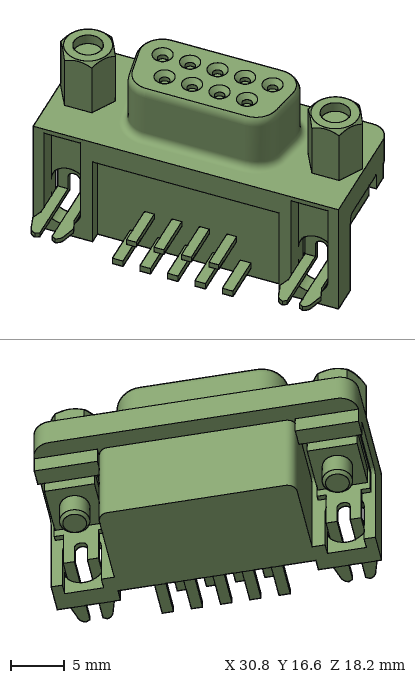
import cadquery as cq
import math


LENGTH = 30.8
FLANGE_HALF_DEPTH = 6.25
FLANGE_THICKNESS = 3.0
FLANGE_CORNER_RADIUS = 1.75
BODY_BOTTOM_Z = -12.23
BODY_BACK_Y = 4.55
CORE_HALF_WIDTH = 9.4
CORE_BACK_RADIUS = 0.95
RECESS_DEPTH = 1.17
RECESS_TOP_Z = -2.4
LEG_BACK_Y = -3.35
TAB_FRONT_Y = 2.85
TAB_BOTTOM_Z = -4.7

SHELL_HEIGHT = 5.98
SHELL_HALF_DEPTH = 3.97
SHELL_MID_HALF_WIDTH = 7.92
SHELL_SIDE_ANGLE = 10.0
SHELL_CORNER_RADIUS = 2.55
SHELL_FLARE_RADIUS = 0.77
SHELL_RIM_RADIUS = 1.23
SHELL_RIM_DEPTH = 0.85

CONTACT_PITCH = 2.77
CONTACT_ROW_Y = 1.42
CONTACT_HOLE_RADIUS = 0.5
CONTACT_MOUTH_RADIUS = 1.0
CONTACT_MOUTH_DEPTH = 0.45
CONTACT_HOLE_DEPTH = 0.92
PIN_END_Y = -9.43
BACK_ROW_COUNT = 5
FRONT_ROW_COUNT = 4
PIN_ROWS = [
    (BACK_ROW_COUNT, -10.95, 1.08, 0.68),
    (FRONT_ROW_COUNT, -8.13, 1.0, 0.6),
]

SCREW_X = 12.48
HEX_ACROSS_FLATS = 4.78
HEX_TOP_RADIUS = 2.28
SCREW_RADIUS = 1.42
SOCKET_DEPTH = 1.05
STUB_BOTTOM_Z = -7.67
STUB_CHAMFER = 0.3
NUT_WIDTH_X = 4.75
NUT_WIDTH_Y = 4.9
NUT_BOTTOM_Z = -5.35

BRACKET_THICKNESS = 0.5
BRACKET_WIDTH = 5.05
BRACKET_BEND_RADIUS = 0.62
BRACKET_INNER_BEND_RADIUS = 0.3
STRAP_TOP_Z = -5.73
STRAP_HALF_WIDTH = 1.65
STRAP_BOTTOM_Z = -9.75
FORK_GAP_HALF_WIDTH = 0.62
FORK_GAP_TOP_Z = -7.2
BARB_START_Y = -7.33
BARB_PEAK_Y = -8.4
BARB_HALF_WIDTH = 2.05
PRONG_ROUND_Y = -9.77
PRONG_INNER_END_Y = -10.17
PRONG_TIP_Y = -10.38
PRONG_TIP_X = 1.02
PRONG_ROUND_MIDPOINT = (1.45, -10.15)

WINDOW_HALF_WIDTH = 1.85
WINDOW_POCKET_TOP_Z = -0.5
WINDOW_POCKET_DEPTH = 1.82
WINDOW_TOP_Z = -5.73
WINDOW_BOTTOM_Z = -11.03


def box(x0, x1, y0, y1, z0, z1):
    """Axis-aligned block between two opposite corners."""
    return cq.Workplane("XY").box(x1 - x0, y1 - y0, z1 - z0, centered=False).translate((x0, y0, z0))


def row_xs(count):
    """Evenly pitched X places of one contact row, centred on X = 0."""
    return [CONTACT_PITCH * (i - (count - 1) / 2) for i in range(count)]


def make_flange():
    flange = box(-LENGTH / 2, LENGTH / 2, -FLANGE_HALF_DEPTH, FLANGE_HALF_DEPTH, -FLANGE_THICKNESS, 0)
    return flange.edges("|Z and >Y").fillet(FLANGE_CORNER_RADIUS)


def make_core():
    """Insulator block below the flange, flush with the board face until the pin recess is cut."""
    core = box(
        -CORE_HALF_WIDTH, CORE_HALF_WIDTH,
        -FLANGE_HALF_DEPTH, BODY_BACK_Y,
        BODY_BOTTOM_Z, -FLANGE_THICKNESS,
    )
    return core.edges("|Z and >Y").fillet(CORE_BACK_RADIUS)


def make_pin_recess():
    return box(
        -CORE_HALF_WIDTH, CORE_HALF_WIDTH,
        -FLANGE_HALF_DEPTH, -FLANGE_HALF_DEPTH + RECESS_DEPTH,
        BODY_BOTTOM_Z, RECESS_TOP_Z,
    )


def make_side_walls():
    """Leg, back tab and rounded bend corner at the -X end."""
    outer_x = -LENGTH / 2
    leg = box(outer_x, -CORE_HALF_WIDTH, -FLANGE_HALF_DEPTH, LEG_BACK_Y, BODY_BOTTOM_Z, -FLANGE_THICKNESS)
    tab = box(outer_x, -CORE_HALF_WIDTH, TAB_FRONT_Y, BODY_BACK_Y, TAB_BOTTOM_Z, -FLANGE_THICKNESS)
    corner = (
        cq.Workplane("YZ", origin=(outer_x, 0, 0))
        .moveTo(LEG_BACK_Y, -FLANGE_THICKNESS)
        .lineTo(LEG_BACK_Y + BRACKET_BEND_RADIUS, -FLANGE_THICKNESS)
        .radiusArc((LEG_BACK_Y, -FLANGE_THICKNESS - BRACKET_BEND_RADIUS), -BRACKET_BEND_RADIUS)
        .close()
        .extrude(LENGTH / 2 - CORE_HALF_WIDTH)
    )
    return leg.union(tab).union(corner)


def make_window():
    """Round-bottomed pocket in the -X leg; an arch behind it runs out at the foot of the leg."""
    pocket_back_y = -FLANGE_HALF_DEPTH + WINDOW_POCKET_DEPTH
    right = WINDOW_HALF_WIDTH
    pocket_spring_z = WINDOW_BOTTOM_Z + WINDOW_HALF_WIDTH
    arch_spring_z = WINDOW_TOP_Z - WINDOW_HALF_WIDTH
    pocket = (
        cq.Workplane("XZ", origin=(-SCREW_X, pocket_back_y, 0))
        .moveTo(-right, pocket_spring_z)
        .threePointArc((0, WINDOW_BOTTOM_Z), (right, pocket_spring_z))
        .lineTo(right, WINDOW_POCKET_TOP_Z)
        .lineTo(-right, WINDOW_POCKET_TOP_Z)
        .close()
        .extrude(WINDOW_POCKET_DEPTH)
    )
    arch = (
        cq.Workplane("XZ", origin=(-SCREW_X, LEG_BACK_Y, 0))
        .moveTo(-right, arch_spring_z)
        .threePointArc((0, WINDOW_TOP_Z), (right, arch_spring_z))
        .lineTo(right, BODY_BOTTOM_Z)
        .lineTo(-right, BODY_BOTTOM_Z)
        .close()
        .extrude(LEG_BACK_Y - pocket_back_y)
    )
    return pocket.union(arch)


def make_shell():
    """D-shaped shell whose rim arc is cut short by the flat mating face."""
    lean = SHELL_HALF_DEPTH * math.tan(math.radians(SHELL_SIDE_ANGLE))
    wide = SHELL_MID_HALF_WIDTH + lean
    narrow = SHELL_MID_HALF_WIDTH - lean
    d = SHELL_HALF_DEPTH
    untrimmed_height = SHELL_HEIGHT - SHELL_RIM_DEPTH + SHELL_RIM_RADIUS
    shell = (
        cq.Workplane("XY")
        .polyline([(-wide, d), (wide, d), (narrow, -d), (-narrow, -d)])
        .close()
        .extrude(untrimmed_height)
        .edges("|Z").fillet(SHELL_CORNER_RADIUS)
        .faces(">Z").edges().fillet(SHELL_RIM_RADIUS)
    )
    return shell.intersect(box(-wide, wide, -d, d, 0, SHELL_HEIGHT))


def make_contact_hole(x, y):
    """Straight hole with a conical mouth, cut down from the mating face."""
    mouth_z = SHELL_HEIGHT - CONTACT_MOUTH_DEPTH
    return (
        cq.Workplane("XZ")
        .polyline([
            (0, SHELL_HEIGHT),
            (CONTACT_MOUTH_RADIUS, SHELL_HEIGHT),
            (CONTACT_HOLE_RADIUS, mouth_z),
            (CONTACT_HOLE_RADIUS, SHELL_HEIGHT - CONTACT_HOLE_DEPTH),
            (0, SHELL_HEIGHT - CONTACT_HOLE_DEPTH),
        ])
        .close()
        .revolve(360, (0, 0, 0), (0, 1, 0))
        .translate((x, y, 0))
    )


def make_pin(x, z, width, thickness):
    core_front_y = -FLANGE_HALF_DEPTH + RECESS_DEPTH
    return box(x - width / 2, x + width / 2, PIN_END_Y, core_front_y, z - thickness / 2, z + thickness / 2)


def make_jackscrew():
    """Hex head with a 45-degree turned top, and the threaded stub behind the nut, on X = 0."""
    corner_radius = HEX_ACROSS_FLATS / math.sqrt(3)
    turned = (
        cq.Workplane("XY")
        .circle(corner_radius)
        .extrude(SHELL_HEIGHT)
        .faces(">Z").chamfer(corner_radius - HEX_TOP_RADIUS)
    )
    head = cq.Workplane("XY").polygon(6, 2 * corner_radius).extrude(SHELL_HEIGHT).intersect(turned)
    head = head.faces(">Z").workplane().hole(2 * SCREW_RADIUS, SOCKET_DEPTH)
    stub = (
        cq.Workplane("XY")
        .circle(SCREW_RADIUS)
        .extrude(STUB_BOTTOM_Z)
        .faces("<Z").chamfer(STUB_CHAMFER)
    )
    return head.union(stub)


def make_nut():
    top_z = -FLANGE_THICKNESS - BRACKET_THICKNESS
    return box(-NUT_WIDTH_X / 2, NUT_WIDTH_X / 2, -NUT_WIDTH_Y / 2, NUT_WIDTH_Y / 2, NUT_BOTTOM_Z, top_z)


def make_bracket():
    """Bent strip on X = 0: a plate under the flange, a strap down the leg and two barbed prongs."""
    inner_y = LEG_BACK_Y + BRACKET_THICKNESS
    plate_bottom_z = -FLANGE_THICKNESS - BRACKET_THICKNESS
    prong_top_z = STRAP_BOTTOM_Z + BRACKET_THICKNESS
    half = BRACKET_WIDTH / 2
    angle = (
        box(-half, half, LEG_BACK_Y, TAB_FRONT_Y, STRAP_TOP_Z, -FLANGE_THICKNESS)
        .edges("|X and <Y and >Z").fillet(BRACKET_BEND_RADIUS)
    )
    inside = (
        box(-half, half, inner_y, TAB_FRONT_Y, STRAP_TOP_Z, plate_bottom_z)
        .edges("|X and <Y and >Z").fillet(BRACKET_INNER_BEND_RADIUS)
    )
    strap = box(-STRAP_HALF_WIDTH, STRAP_HALF_WIDTH, LEG_BACK_Y, inner_y, STRAP_BOTTOM_Z, STRAP_TOP_Z)
    gap_round = (
        cq.Workplane("XZ", origin=(0, inner_y, FORK_GAP_TOP_Z - FORK_GAP_HALF_WIDTH))
        .circle(FORK_GAP_HALF_WIDTH)
        .extrude(BRACKET_THICKNESS)
    )
    gap = box(
        -FORK_GAP_HALF_WIDTH, FORK_GAP_HALF_WIDTH,
        LEG_BACK_Y, inner_y,
        STRAP_BOTTOM_Z, FORK_GAP_TOP_Z - FORK_GAP_HALF_WIDTH,
    )
    prong = (
        cq.Workplane("XY", origin=(0, 0, STRAP_BOTTOM_Z))
        .moveTo(FORK_GAP_HALF_WIDTH, inner_y)
        .lineTo(STRAP_HALF_WIDTH, inner_y)
        .lineTo(STRAP_HALF_WIDTH, BARB_START_Y)
        .lineTo(BARB_HALF_WIDTH, BARB_PEAK_Y)
        .lineTo(STRAP_HALF_WIDTH, PRONG_ROUND_Y)
        .threePointArc(PRONG_ROUND_MIDPOINT, (PRONG_TIP_X, PRONG_TIP_Y))
        .lineTo(FORK_GAP_HALF_WIDTH, PRONG_INNER_END_Y)
        .close()
        .extrude(prong_top_z - STRAP_BOTTOM_Z)
    )
    bracket = angle.cut(inside).union(strap.cut(gap).cut(gap_round))
    return bracket.union(prong).union(prong.mirror("YZ"))


flare_zone = cq.selectors.BoxSelector(
    (-SCREW_X, -SHELL_HALF_DEPTH - SHELL_FLARE_RADIUS, -SHELL_FLARE_RADIUS),
    (SCREW_X, SHELL_HALF_DEPTH + SHELL_FLARE_RADIUS, SHELL_FLARE_RADIUS),
)
result = make_flange().union(make_shell()).edges(flare_zone).fillet(SHELL_FLARE_RADIUS)

side_walls = make_side_walls()
window = make_window()
result = result.union(make_core()).union(side_walls).union(side_walls.mirror("YZ"))
result = result.cut(make_pin_recess()).cut(window).cut(window.mirror("YZ"))

for count, y in [(BACK_ROW_COUNT, CONTACT_ROW_Y), (FRONT_ROW_COUNT, -CONTACT_ROW_Y)]:
    for x in row_xs(count):
        result = result.cut(make_contact_hole(x, y))

for count, z, width, thickness in PIN_ROWS:
    for x in row_xs(count):
        result = result.union(make_pin(x, z, width, thickness))

hardware = make_jackscrew().union(make_nut()).union(make_bracket())
for x in (-SCREW_X, SCREW_X):
    result = result.union(hardware.translate((x, 0, 0)))